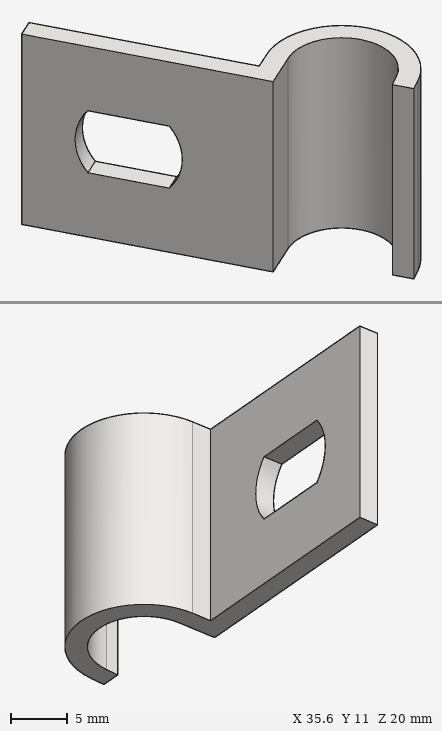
import cadquery as cq
import math

clip_height = 20.0
thickness = 2.0
bore_radius = 5.0
bore_axis_x = 28.5
bore_axis_y = 4.0
lip_drop = 1.0
lip_angle = 4.0

slot_center_x = 10.0
slot_diameter = 10.0
slot_width = 6.5

outer_radius = bore_radius + thickness
plate_end_x = bore_axis_x - bore_radius
riser_outer_x = bore_axis_x - outer_radius
lip_end_y = bore_axis_y - lip_drop
flare = math.radians(lip_angle)


def saddle_top(radius):
    """Highest point of a saddle arc."""
    return (bore_axis_x, bore_axis_y + radius)


def lip_start(radius):
    """Point where a saddle arc runs tangentially into the flared lip."""
    return (
        bore_axis_x + radius * math.cos(flare),
        bore_axis_y + radius * math.sin(flare),
    )


def lip_end(radius):
    """Point where the lip face tangent to a saddle arc meets the flat lip end."""
    offset_x = radius / math.cos(flare) + lip_drop * math.tan(flare)
    return (bore_axis_x + offset_x, lip_end_y)


def make_strip():
    """Flat plate, short riser, half-round saddle and flared lip, extruded along Z."""
    return (
        cq.Workplane("XY")
        .moveTo(0, 0)
        .lineTo(plate_end_x, 0)
        .lineTo(plate_end_x, bore_axis_y)
        .threePointArc(saddle_top(bore_radius), lip_start(bore_radius))
        .lineTo(*lip_end(bore_radius))
        .lineTo(*lip_end(outer_radius))
        .lineTo(*lip_start(outer_radius))
        .threePointArc(saddle_top(outer_radius), (riser_outer_x, bore_axis_y))
        .lineTo(riser_outer_x, thickness)
        .lineTo(0, thickness)
        .close()
        .extrude(clip_height)
    )


def make_slot_cutter():
    """Round bar trimmed by two flats, passing through the plate along Y."""
    bar = cq.Workplane("XZ").circle(slot_diameter / 2).extrude(-thickness)
    flats = cq.Workplane("XZ").rect(slot_diameter, slot_width).extrude(-thickness)
    return bar.intersect(flats).translate((slot_center_x, 0, clip_height / 2))


result = make_strip().cut(make_slot_cutter())